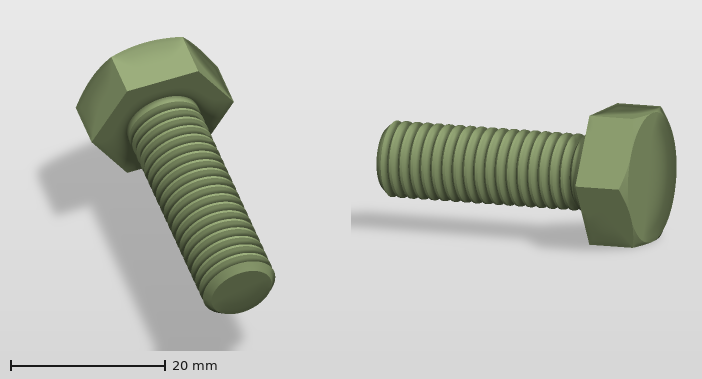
import cadquery as cq
import math

total_length = 36.85
head_height = 6.8
across_flats = 17.0
head_chamfer_angle = 30.0
thread_diameter = 10.0
thread_depth = 0.85
crest_width = 0.35
first_root_x = 8.35
last_root_x = 35.35
groove_count = 19
tip_chamfer_depth = 0.85

thread_radius = thread_diameter / 2
root_radius = thread_radius - thread_depth
thread_pitch = (last_root_x - first_root_x) / (groove_count - 1)
groove_half_width = (thread_pitch - crest_width) / 2
across_corners = across_flats / math.cos(math.radians(30))


def revolve_about_x(points):
    """Revolve a closed (x, radius) outline about the bolt axis."""
    profile = cq.Workplane("XY").polyline(points).close()
    return profile.revolve(360, (0, 0, 0), (1, 0, 0))


def make_head():
    """Hexagon with corners on Y, trimmed by a cone at its outer face."""
    hexagon = cq.Workplane("YZ").polygon(6, across_corners).extrude(head_height)
    flat_radius = across_flats / 2
    cone_rise = head_height * math.tan(math.radians(90 - head_chamfer_angle))
    trimming_cone = revolve_about_x([
        (0, 0),
        (0, flat_radius),
        (head_height, flat_radius + cone_rise),
        (head_height, 0),
    ])
    return hexagon.intersect(trimming_cone)


def make_shank():
    """Shank with separate V-shaped ring grooves and a chamfered tip."""
    shank_start = head_height / 2
    outline = [(shank_start, 0), (shank_start, thread_radius)]
    for index in range(groove_count):
        root_x = first_root_x + index * thread_pitch
        outline += [
            (root_x - groove_half_width, thread_radius),
            (root_x, root_radius),
            (root_x + groove_half_width, thread_radius),
        ]
    outline += [
        (total_length, thread_radius - tip_chamfer_depth),
        (total_length, 0),
    ]
    return revolve_about_x(outline)


result = make_head().union(make_shank())